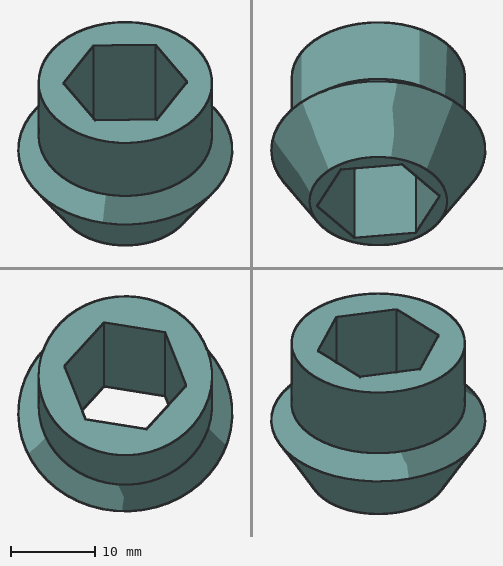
import cadquery as cq
import math

total_height = 19.05
rim_diameter = 25.4
collar_diameter = 20.57
base_diameter = 16.3
seat_height = 7.9
shoulder_height = 2.4
hex_across_flats = 12.7

shoulder_top = seat_height + shoulder_height
hex_across_corners = hex_across_flats / math.cos(math.radians(30))

body = (
    cq.Workplane("XZ")
    .moveTo(0, 0)
    .lineTo(base_diameter / 2, 0)
    .lineTo(rim_diameter / 2, seat_height)
    .lineTo(collar_diameter / 2, shoulder_top)
    .lineTo(collar_diameter / 2, total_height)
    .lineTo(0, total_height)
    .close()
    .revolve(360, (0, 0, 0), (0, 1, 0))
)

socket = cq.Workplane("XY").polygon(6, hex_across_corners).extrude(total_height)

result = body.cut(socket)